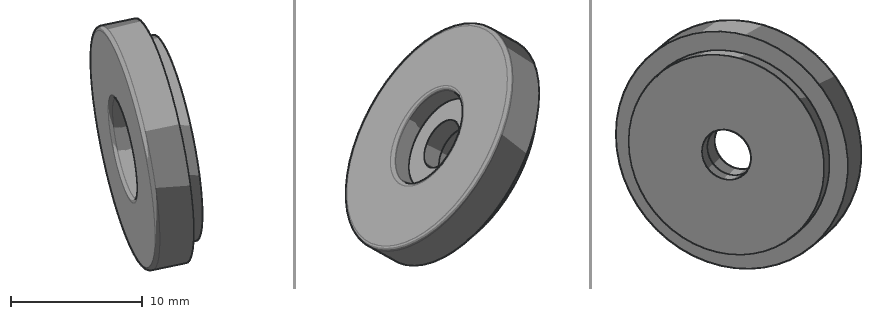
import cadquery as cq
import math

TOTAL_THICKNESS = 4.1
HOLE_RADIUS = 4.0 / 2

PAD_RADIUS = 19.0 / 2
PAD_THICKNESS = 3.0
EDGE_FILLET = 0.3
POCKET_FLOOR_RADIUS = 7.5 / 2
POCKET_DEPTH = 1.5
POCKET_DRAFT = 7.0
POCKET_MOUTH_RADIUS = POCKET_FLOOR_RADIUS + POCKET_DEPTH * math.tan(math.radians(POCKET_DRAFT))

PLATE_RADIUS = 16.0 / 2
PLATE_THICKNESS = TOTAL_THICKNESS - PAD_THICKNESS


def disc_with_hole(radius, thickness, front):
    """Round disc about the Y axis, from Y = front backwards, with the screw hole through it."""
    plane = cq.Workplane("XZ", origin=(0, front, 0))
    return plane.circle(radius).circle(HOLE_RADIUS).extrude(-thickness)


def pocket_cutter():
    """Cone frustum that fills the pocket, from its mouth at Y = 0 to its floor."""
    half_profile = (
        cq.Workplane("XY")
        .polyline([
            (0, 0),
            (POCKET_MOUTH_RADIUS, 0),
            (POCKET_FLOOR_RADIUS, POCKET_DEPTH),
            (0, POCKET_DEPTH),
        ])
        .close()
    )
    return half_profile.revolve(360, (0, 0, 0), (0, 1, 0))


def make_pad():
    pad = disc_with_hole(PAD_RADIUS, PAD_THICKNESS, 0).cut(pocket_cutter())
    return pad.faces("<Y").edges().fillet(EDGE_FILLET).solids()


def make_backing_plate():
    return disc_with_hole(PLATE_RADIUS, PLATE_THICKNESS, PAD_THICKNESS)


pad = make_pad()
backing_plate = make_backing_plate()

result = cq.Compound.makeCompound([pad.val(), backing_plate.val()])